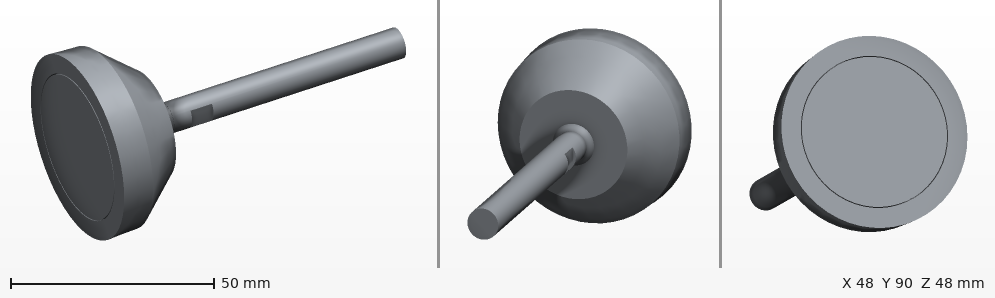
import cadquery as cq
import math


sole_diameter = 48.0
foot_height = 20.0
foot_top_diameter = 28.0
rim_height = 8.3
rim_top_diameter = 47.2

groove_outer_diameter = 38.0
groove_inner_diameter = 37.5
groove_depth = 2.0

stem_end = 90.0
stem_diameter = 8.0
neck_diameter = 7.8
neck_end = 25.0
ball_diameter = 13.0
ball_top = 21.5

flats_start = 30.0
flats_length = 6.0
across_flats = 6.2

sole_radius = sole_diameter / 2
rim_top_radius = rim_top_diameter / 2
neck_radius = neck_diameter / 2
stem_radius = stem_diameter / 2
ball_radius = ball_diameter / 2
ball_center = ball_top - math.sqrt(ball_radius**2 - neck_radius**2)


def revolve_about_y(profile):
    return profile.close().revolve(360, (0, 0, 0), (0, 1, 0))


def make_ball():
    return cq.Workplane("XY").sphere(ball_radius).translate((0, ball_center, 0))


def make_ring_groove():
    return (
        cq.Workplane("XZ")
        .circle(groove_outer_diameter / 2)
        .circle(groove_inner_diameter / 2)
        .extrude(-groove_depth)
    )


def make_foot():
    body = revolve_about_y(
        cq.Workplane("XY")
        .lineTo(sole_radius, 0)
        .lineTo(rim_top_radius, rim_height)
        .lineTo(foot_top_diameter / 2, foot_height)
        .lineTo(0, foot_height)
    )
    return body.cut(make_ball()).cut(make_ring_groove())


def make_wrench_flats_cut():
    """Material outside the two flats, which face -X and +X."""
    flats_middle = flats_start + flats_length / 2
    band = cq.Workplane("XY").box(2 * stem_diameter, flats_length, 2 * stem_diameter)
    kept = cq.Workplane("XY").box(across_flats, flats_length, 2 * stem_diameter)
    return band.cut(kept).translate((0, flats_middle, 0))


def make_stem():
    ball_side = (ball_radius, ball_center)
    body = revolve_about_y(
        cq.Workplane("XY")
        .moveTo(0, ball_center - ball_radius)
        .threePointArc(ball_side, (neck_radius, ball_top))
        .lineTo(neck_radius, neck_end)
        .lineTo(stem_radius, neck_end)
        .lineTo(stem_radius, stem_end)
        .lineTo(0, stem_end)
    )
    return body.cut(make_wrench_flats_cut())


foot = make_foot()
stem = make_stem()

result = cq.Compound.makeCompound([foot.val(), stem.val()])